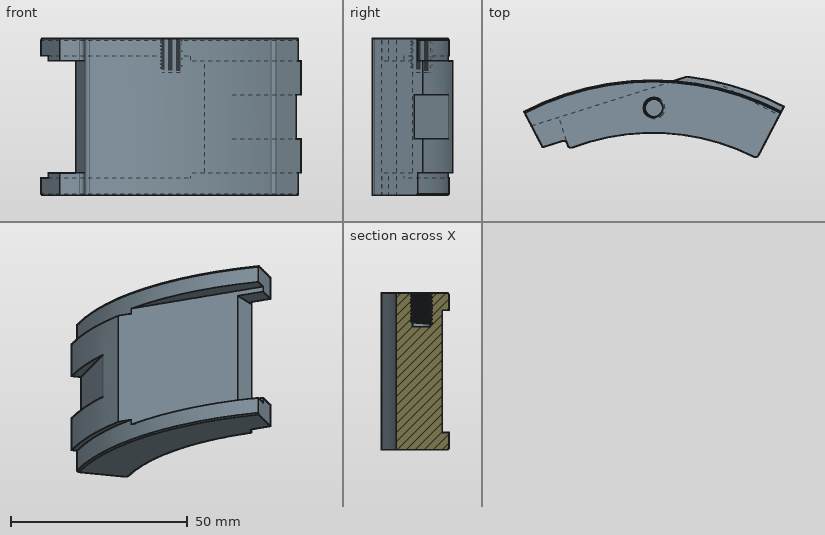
import cadquery as cq
import math

half_angle = 27.5
inner_radius = 64.0
outer_radius = 78.9
height = 44.4
corner_radius = 1.0
rim_chamfer = 0.45

pad_radius = 80.55
pad_height = 31.65

joint_tilt = 17.5
flat_level = 73.3
flat_height = 34.6
web_end = -4.8
lip_level = 66.5

notch_floor_radius = 77.75
notch_height = 12.5

hole_x = 0.4
hole_y = 71.05
hole_diameter = 5.0
thread_diameter = 6.0
thread_pitch = 1.0
thread_turns = 9
thread_runout = 0.7
groove_root_width = 0.9
groove_crest_width = 0.15
groove_overlap = 0.15
hole_depth = thread_runout + (thread_turns - 0.5) * thread_pitch

reach = 2 * pad_radius


def polar(radius, angle):
    """Point at a radius, with the angle measured from +Y toward +X."""
    a = math.radians(angle)
    return (radius * math.sin(a), radius * math.cos(a))


def sector(r_in, r_out, z_size):
    """Annular sector between the two end faces, centred on Z = 0."""
    return (
        cq.Workplane("XY")
        .moveTo(*polar(r_in, -half_angle))
        .lineTo(*polar(r_out, -half_angle))
        .threePointArc(polar(r_out, 0), polar(r_out, half_angle))
        .lineTo(*polar(r_in, half_angle))
        .threePointArc(polar(r_in, 0), polar(r_in, -half_angle))
        .close()
        .extrude(z_size / 2, both=True)
    )


def tilted_block(tilt, u_min, u_max, v_min, v_max, z_size):
    """Block given in a frame turned by tilt about Z, centred on Z = 0."""
    return (
        cq.Workplane("XY")
        .box(u_max - u_min, v_max - v_min, z_size)
        .translate(((u_min + u_max) / 2, (v_min + v_max) / 2, 0))
        .rotate((0, 0, 0), (0, 0, 1), tilt)
    )


def joint_point(u, v):
    """XYZ position of a point given in the joint frame."""
    a = math.radians(joint_tilt)
    return (u * math.cos(a) - v * math.sin(a), u * math.sin(a) + v * math.cos(a), 0)


def round_corner(solid, point):
    """Round the vertical edge nearest to a point."""
    edge = solid.edges("|Z").edges(cq.selectors.NearestToPointSelector(point))
    return edge.fillet(corner_radius)


def make_body():
    """Sector with chamfered outer rims, relieved lips and rounded inner corners."""
    body = sector(inner_radius, outer_radius, height)
    rims = body.faces("<Z or >Z").edges(cq.selectors.RadiusNthSelector(-1))
    body = rims.chamfer(rim_chamfer)
    body = body.cut(tilted_block(joint_tilt, -reach, web_end, 0, lip_level, height))
    inner_v = math.sqrt(inner_radius**2 - web_end**2)
    body = round_corner(body, joint_point(web_end, lip_level))
    body = round_corner(body, joint_point(web_end, inner_v))
    return round_corner(body, (*polar(inner_radius, half_angle), 0))


def make_threaded_hole():
    """Cutter standing on Z = 0: the hole with the helical groove of its thread."""
    root_radius = hole_diameter / 2 - groove_overlap
    crest_radius = thread_diameter / 2
    root = groove_root_width / 2
    crest = groove_crest_width / 2
    thread_length = thread_turns * thread_pitch
    path = cq.Wire.makeHelix(thread_pitch, thread_length, root_radius)
    groove = (
        cq.Workplane("XZ")
        .polyline([(root_radius, -root), (crest_radius, -crest), (crest_radius, crest), (root_radius, root)])
        .close()
        .sweep(cq.Workplane(path), isFrenet=True)
        .translate((0, 0, thread_runout))
    )
    core_height = thread_length + 3 * thread_runout
    return cq.Workplane("XY").circle(hole_diameter / 2).extrude(core_height).union(groove)


pad = sector(outer_radius, pad_radius, pad_height)

web_gap = tilted_block(joint_tilt, -reach, web_end, 0, reach, pad_height)

flat_cut = tilted_block(joint_tilt, -reach, reach, flat_level, reach, flat_height)

notch = tilted_block(-half_angle, -reach, reach, notch_floor_radius, reach, notch_height)

threaded_hole = make_threaded_hole().translate((hole_x, hole_y, height / 2 - hole_depth))

result = make_body().union(pad)
for cutter in (flat_cut, web_gap, notch, threaded_hole):
    result = result.cut(cutter)